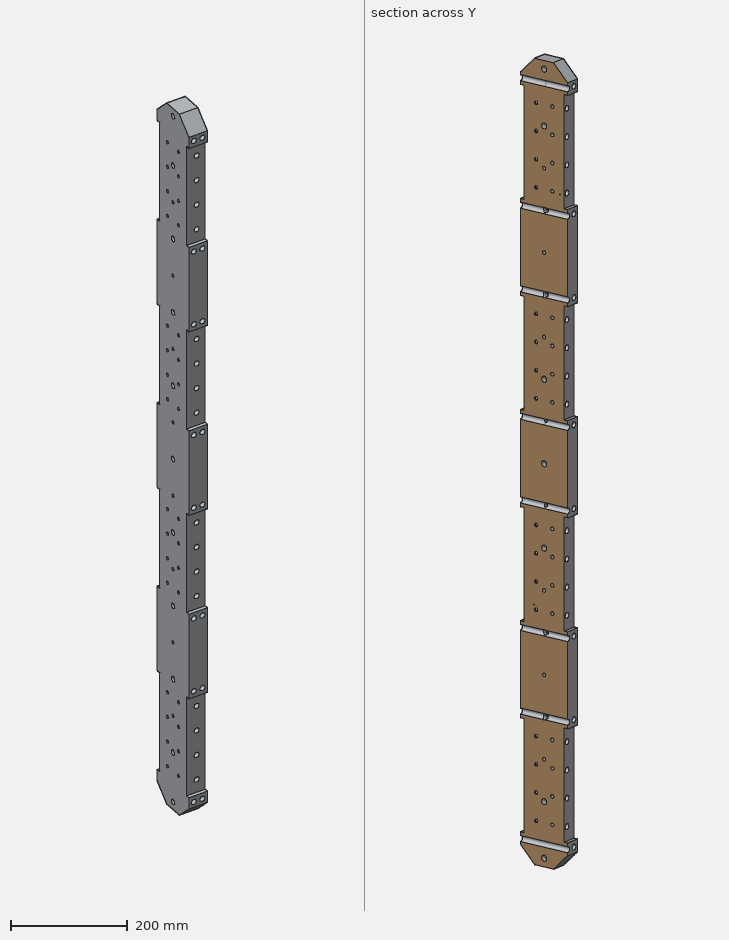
import cadquery as cq

LENGTH = 1455.0
WIDTH = 102.0
THICKNESS = 38.0
END_FLAT_WIDTH = 41.0
END_BEVEL_HEIGHT = 30.0

BAY_COUNT = 4
OUTER_BAY_SPACING = 1143.0
BAY_PITCH = OUTER_BAY_SPACING / (BAY_COUNT - 1)
BAY_LENGTH = 205.0
BAY_WIDTH = 87.0
BAY_CENTRES = [(i - (BAY_COUNT - 1) / 2) * BAY_PITCH for i in range(BAY_COUNT)]

LARGE_HOLE_DIAMETER = 10.0
SMALL_HOLE_DIAMETER = 6.0
CENTRE_HOLE_PITCH = BAY_PITCH / 5
CENTRE_HOLES_EACH_WAY = 8
END_HOLE_Z = 712.0

ROW_PITCH = 51.0
ROWS_PER_BAY = 4
COLUMN_SPACING = 35.0
SIDE_HOLE_DIAMETER = 10.0
SIDE_HOLE_Y = 1.0
SIDE_HOLE_DEPTH = (BAY_WIDTH - COLUMN_SPACING) / 2
ROW_CENTRES = [
    bay_z + (i - (ROWS_PER_BAY - 1) / 2) * ROW_PITCH
    for bay_z in BAY_CENTRES
    for i in range(ROWS_PER_BAY)
]

PAIR_HOLE_DIAMETER = 10.0
PAIR_SPACING = 17.0
PAIR_OFFSET = 115.0
PAIR_CENTRES = [bay_z + side * PAIR_OFFSET for bay_z in BAY_CENTRES for side in (-1, 1)]


def make_body():
    """Bar with bevelled ends and a notch in both edges at every bay."""
    bar = cq.Workplane("XY").box(WIDTH, THICKNESS, LENGTH)
    bevel_width = (WIDTH - END_FLAT_WIDTH) / 2
    notch_depth = (WIDTH - BAY_WIDTH) / 2
    for side in (-1, 1):
        edge_x = side * WIDTH / 2
        for end in (-1, 1):
            end_z = end * LENGTH / 2
            corner = [
                (edge_x, end_z),
                (edge_x - side * bevel_width, end_z),
                (edge_x, end_z - end * END_BEVEL_HEIGHT),
            ]
            bar = bar.cut(cq.Workplane("XZ").polyline(corner).close().extrude(THICKNESS / 2, both=True))
        for bay_z in BAY_CENTRES:
            notch = cq.Workplane("XY").box(2 * notch_depth, THICKNESS, BAY_LENGTH)
            bar = bar.cut(notch.translate((edge_x, 0, bay_z)))
    return bar


def holes_through_thickness(points, diameter):
    """Cylinders along Y at the given (x, z) points."""
    return cq.Workplane("XZ").pushPoints(points).circle(diameter / 2).extrude(THICKNESS, both=True)


def holes_through_width(points, diameter):
    """Cylinders along X at the given (y, z) points."""
    return cq.Workplane("YZ").pushPoints(points).circle(diameter / 2).extrude(WIDTH, both=True)


def make_centre_holes():
    """Alternating centreline holes, plus one large hole close to each end."""
    large_points = [(0, -END_HOLE_Z), (0, END_HOLE_Z)]
    small_points = []
    for i in range(-CENTRE_HOLES_EACH_WAY, CENTRE_HOLES_EACH_WAY + 1):
        points = large_points if i % 2 == 0 else small_points
        points.append((0, i * CENTRE_HOLE_PITCH))
    large = holes_through_thickness(large_points, LARGE_HOLE_DIAMETER)
    return large.add(holes_through_thickness(small_points, SMALL_HOLE_DIAMETER))


def make_row_holes():
    """Two columns of small holes through the thickness in every bay."""
    points = [(side * COLUMN_SPACING / 2, z) for z in ROW_CENTRES for side in (-1, 1)]
    return holes_through_thickness(points, SMALL_HOLE_DIAMETER)


def make_side_holes():
    """Blind holes from both bay edges, each ending on the axis of a row hole."""
    core_width = BAY_WIDTH - 2 * SIDE_HOLE_DEPTH
    core = cq.Workplane("XY").box(core_width, THICKNESS, LENGTH)
    points = [(SIDE_HOLE_Y, z) for z in ROW_CENTRES]
    return holes_through_width(points, SIDE_HOLE_DIAMETER).cut(core)


def make_pair_holes():
    """Holes side by side across the thickness, through the full width."""
    points = [(side * PAIR_SPACING / 2, z) for z in PAIR_CENTRES for side in (-1, 1)]
    return holes_through_width(points, PAIR_HOLE_DIAMETER)


result = make_body()
for cutters in (make_centre_holes(), make_row_holes(), make_side_holes(), make_pair_holes()):
    for cutter in cutters.vals():
        result = result.cut(cq.Workplane(cutter))